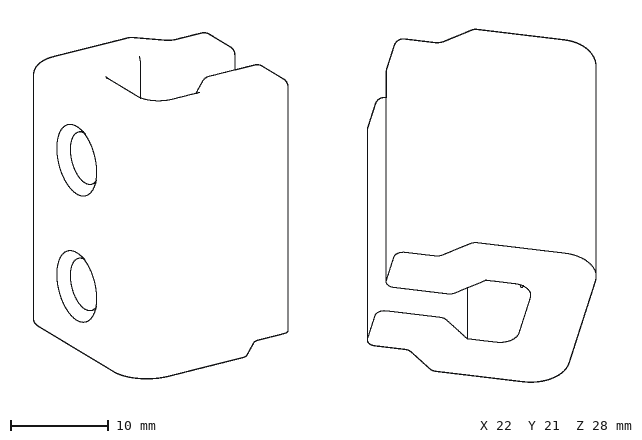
import cadquery as cq
import math

height = 28.0
body_width = 22.0
depth = 21.0
wall = 6.0
slot_width = 4.0
shoulder_start = 11.0
shoulder_angle = 45.0
edge_radius = 1.0
cavity_radius = 2.0
corner_radius = 4.0

hole_diameter = 5.5
hole_chamfer = 1.0
hole_spacing = 14.0

body_half = body_width / 2
slot_half = slot_width / 2
arm_half = slot_half + wall
cavity_half = body_half - wall
slot_start = shoulder_start + (cavity_half - slot_half) / math.tan(math.radians(shoulder_angle))
shoulder_shift = wall * math.tan(math.radians(shoulder_angle / 2))
outer_shoulder_start = shoulder_start + shoulder_shift
outer_shoulder_end = slot_start + shoulder_shift


def both_sides(x, y):
    """The vertical-edge positions at (x, y) and its mirror image."""
    return [(-x, y), (x, y)]


def round_vertical_edges(solid, places, radius):
    """Fillet the vertical edge nearest to each (x, y) place."""
    for x, y in places:
        nearest = cq.selectors.NearestToPointSelector((x, y, height / 2))
        solid = solid.edges("|Z").edges(nearest).fillet(radius)
    return solid


def make_body():
    """Clamp-shaped profile extruded to full height, with its corners and top rim rounded."""
    right_half = [
        (body_half, 0),
        (body_half, outer_shoulder_start),
        (arm_half, outer_shoulder_end),
        (arm_half, depth),
        (slot_half, depth),
        (slot_half, slot_start),
        (cavity_half, shoulder_start),
        (cavity_half, wall),
    ]
    left_half = [(-x, y) for x, y in reversed(right_half)]
    body = cq.Workplane("XY").polyline(right_half + left_half).close().extrude(height)

    body = round_vertical_edges(body, both_sides(body_half, 0), corner_radius)
    body = round_vertical_edges(body, both_sides(cavity_half, wall), cavity_radius)
    small_corners = (
        both_sides(body_half, outer_shoulder_start)
        + both_sides(arm_half, outer_shoulder_end)
        + both_sides(arm_half, depth)
        + both_sides(slot_half, depth)
        + both_sides(slot_half, slot_start)
    )
    body = round_vertical_edges(body, small_corners, edge_radius)
    return body.faces(">Z").edges().fillet(edge_radius)


def make_screw_hole(z):
    """Cutter for a hole through the base wall, chamfered at its outer face."""
    hole_radius = hole_diameter / 2
    mouth_radius = hole_radius + hole_chamfer
    inner_end = wall + cavity_radius
    profile = [
        (0, 0),
        (mouth_radius, 0),
        (hole_radius, hole_chamfer),
        (hole_radius, inner_end),
        (0, inner_end),
    ]
    cutter = cq.Workplane("XY").polyline(profile).close().revolve(360, (0, 0), (0, 1))
    return cutter.translate((0, 0, z))


result = make_body()
for side in (-1, 1):
    result = result.cut(make_screw_hole(height / 2 + side * hole_spacing / 2))